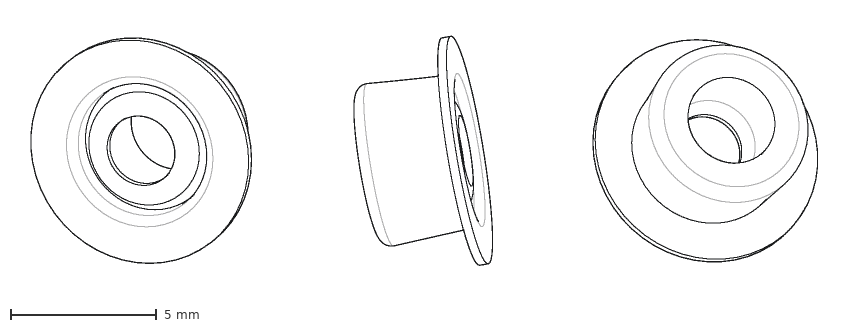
import cadquery as cq
import math

flange_radius = 3.96
flange_thickness = 0.31
total_depth = 3.56

neck_radius = 2.66
body_radius = 2.83
rim_fillet = 0.43
rim_start = total_depth - rim_fillet

throat_radius = 2.345
mouth_radius = neck_radius
lip_fillet = mouth_radius - throat_radius

hole_radius = 1.23
dome_front = 0.135
shoulder_diameter = 4.015
shoulder_radius = shoulder_diameter / 2
shoulder_slope = math.radians(45)
groove_slope = math.radians(60)
groove_radius = 2.31

hole_length = 0.27
bore_radius = 1.545
bore_start = 0.99


def arc_middle(center, radius, angle):
    """Point on an arc, with the angle measured from the +X direction of the half section."""
    return (center[0] + radius * math.cos(angle), center[1] + radius * math.sin(angle))


dome_arc_radius = (shoulder_radius - hole_radius) / math.sin(shoulder_slope)
dome_center = (hole_radius, dome_front + dome_arc_radius)
dome_middle = arc_middle(dome_center, dome_arc_radius, (shoulder_slope - math.pi) / 2)
shoulder_depth = dome_front + dome_arc_radius * (1 - math.cos(shoulder_slope))
groove_depth = shoulder_depth + (groove_radius - shoulder_radius) * math.tan(groove_slope)

hole_end = dome_front + hole_length
bore_step = bore_radius - hole_radius
bore_rise = bore_start - hole_end
bore_arc_radius = (bore_step**2 + bore_rise**2) / (2 * bore_step)
bore_arc_angle = math.asin(bore_rise / bore_arc_radius)
bore_center = (bore_radius - bore_arc_radius, bore_start)
bore_middle = arc_middle(bore_center, bore_arc_radius, -bore_arc_angle / 2)

rim_middle = arc_middle((body_radius - rim_fillet, rim_start), rim_fillet, math.pi / 4)
lip_middle = arc_middle((mouth_radius, lip_fillet), lip_fillet, -3 * math.pi / 4)

profile = (
    cq.Workplane("XY")
    .moveTo(hole_radius, dome_front)
    .threePointArc(dome_middle, (shoulder_radius, shoulder_depth))
    .lineTo(groove_radius, groove_depth)
    .lineTo(throat_radius, lip_fillet)
    .threePointArc(lip_middle, (mouth_radius, 0))
    .lineTo(flange_radius, 0)
    .lineTo(flange_radius, flange_thickness)
    .lineTo(neck_radius, flange_thickness)
    .lineTo(body_radius, rim_start)
    .threePointArc(rim_middle, (body_radius - rim_fillet, total_depth))
    .lineTo(bore_radius, total_depth)
    .lineTo(bore_radius, bore_start)
    .threePointArc(bore_middle, (hole_radius, hole_end))
    .close()
)

result = profile.revolve(360, (0, 0, 0), (0, 1, 0))